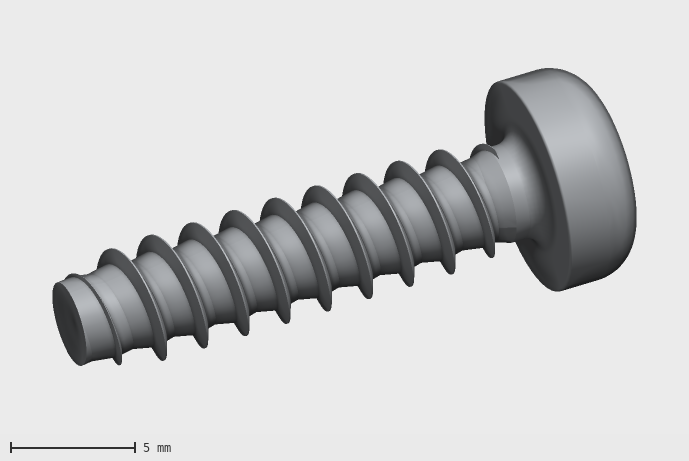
import cadquery as cq
import math


head_radius = 4.4
head_height = 3.5
crown_radius = 1.75
head_edge_radius = 0.1

total_length = 23.49
shank_length = total_length - head_height
neck_radius = 1.97
neck_fillet = 0.72
neck_length = 1.3
neck_taper_end = 2.1
root_radius = 1.70

dimple_radius = 1.64
dimple_depth = 0.2

pitch = 1.8
half_pitch = pitch / 2
crest_radius = 2.5
crest_half_width = 0.03
upper_base_radius = 1.79
upper_base_width = 0.33
lower_base_radius = 1.87
lower_base_width = 0.27
vanished_base_radius = 1.76
root_width = 0.70

thread_start_depth = 1.2
run_in_start_height = 0.52
run_in_end_depth = 3.3
run_out_start = 2.6
run_out_end = 0.35
least_ridge_height = 0.03
flat_tolerance = 1e-9

first_crest_depth = 2.92
bar_start_depth = first_crest_depth - 2 * pitch
half_turn_count = math.ceil((shank_length + pitch - bar_start_depth) / half_pitch)


def revolve_about_y(profile):
    return profile.close().revolve(360, (0, 0, 0), (0, 1, 0))


def make_head_and_neck():
    """Rounded head, filleted neck and the cone that leads into the thread root."""
    diagonal = math.sqrt(0.5)
    crown_x = head_radius - crown_radius
    crown_y = head_height - crown_radius
    edge_inset = head_edge_radius * (1 - diagonal)
    fillet_inset = neck_fillet * (1 - diagonal)
    profile = (
        cq.Workplane("XY")
        .moveTo(0, head_height)
        .lineTo(crown_x, head_height)
        .threePointArc(
            (crown_x + crown_radius * diagonal, crown_y + crown_radius * diagonal),
            (head_radius, crown_y),
        )
        .lineTo(head_radius, head_edge_radius)
        .threePointArc((head_radius - edge_inset, edge_inset), (head_radius - head_edge_radius, 0))
        .lineTo(neck_radius + neck_fillet, 0)
        .threePointArc((neck_radius + fillet_inset, -fillet_inset), (neck_radius, -neck_fillet))
        .lineTo(neck_radius, -neck_length)
        .lineTo(root_radius, -neck_taper_end)
        .lineTo(0, -neck_taper_end)
    )
    return revolve_about_y(profile)


def make_dimple():
    """Cone that hollows the end face of the tip."""
    profile = (
        cq.Workplane("XY")
        .moveTo(0, -shank_length)
        .lineTo(dimple_radius, -shank_length)
        .lineTo(0, dimple_depth - shank_length)
    )
    return revolve_about_y(profile)


def ridge_height(depth):
    """Ridge height at a depth, as a fraction of the full height."""
    run_in_slope = (1 - run_in_start_height) / (run_in_end_depth - thread_start_depth)
    run_in = 1 - run_in_slope * (run_in_end_depth - depth)
    run_out = (shank_length - depth - run_out_end) / (run_out_start - run_out_end)
    return max(least_ridge_height, min(1, run_in, run_out))


def ridge_profile(index):
    """Radius and depth of each corner of the thread outline after a number of half turns."""
    depth = bar_start_depth + index * half_pitch
    height = ridge_height(depth)
    foot_radius = vanished_base_radius + height * (lower_base_radius - vanished_base_radius)
    base_radius = (upper_base_radius + foot_radius) / 2
    top_radius = base_radius + height * (crest_radius - base_radius)
    return [
        (root_radius, depth - root_width),
        (upper_base_radius, depth - upper_base_width * height),
        (top_radius, depth - crest_half_width * height),
        (top_radius, depth + crest_half_width * height),
        (foot_radius, depth + lower_base_width * height),
        (root_radius, depth - root_width + pitch),
    ]


def half_turn_edge(index, start, end):
    """Half a turn of a helix about Z between two (radius, height) points."""
    (start_radius, start_height), (end_radius, end_height) = start, end
    rise = end_height - start_height
    widening = end_radius - start_radius
    if abs(widening) < flat_tolerance:
        wire = cq.Wire.makeHelix(2 * rise, rise, start_radius)
    else:
        slope_length = math.hypot(rise, widening)
        cone_angle = math.degrees(math.atan2(widening, rise))
        wire = cq.Wire.makeHelix(2 * slope_length, slope_length, start_radius, angle=cone_angle)
    placement = cq.Location(cq.Vector(0, 0, start_height), cq.Vector(0, 0, 1), 180 * index)
    return wire.Edges()[0].moved(placement)


def thread_strips(index):
    """Faces of one half turn: root fillet, both flanks, crest and tapered root."""
    edges = [
        half_turn_edge(index, start, end)
        for start, end in zip(ridge_profile(index), ridge_profile(index + 1))
    ]
    return [cq.Face.makeRuledSurface(edge, next_edge) for edge, next_edge in zip(edges, edges[1:])]


def end_faces(index):
    """Faces closing the bar at one end: a radial cut and a helical floor down to the axis."""
    outline = ridge_profile(index)
    low = outline[0][1]
    side = (-1) ** index
    corners = [(0, 0, low)] + [(side * radius, 0, depth) for radius, depth in outline] + [(0, 0, low + pitch)]
    faces = [cq.Face.makeFromWires(cq.Wire.makePolygon(corners, close=True))]
    for half in (0, 1):
        bottom = low + half * half_pitch
        top = bottom + half_pitch
        axis_edge = cq.Edge.makeLine((0, 0, bottom), (0, 0, top))
        root_edge = half_turn_edge(index + half, (root_radius, bottom), (root_radius, top))
        faces.append(cq.Face.makeRuledSurface(axis_edge, root_edge))
    return faces


def make_threaded_bar():
    """Threaded bar running past both ends of the thread.

    It is sewn together along +Z with the helix starting at +X,
    then turned to start at +Z and advance along -Y.
    """
    faces = end_faces(0) + end_faces(half_turn_count)
    for index in range(half_turn_count):
        faces.extend(thread_strips(index))
    bar = cq.Workplane(obj=cq.Solid.makeSolid(cq.Shell.makeShell(faces)))
    return bar.rotate((0, 0, 0), (1, 0, 0), 90).rotate((0, 0, 0), (0, 1, 0), -90)


def make_threaded_shank():
    """Threaded bar cut off square within the neck and at the tip."""
    shank_space = (
        cq.Workplane("XZ", origin=(0, -thread_start_depth, 0))
        .circle(2 * crest_radius)
        .extrude(shank_length - thread_start_depth)
    )
    return make_threaded_bar().intersect(shank_space)


result = make_head_and_neck().union(make_threaded_shank()).cut(make_dimple())